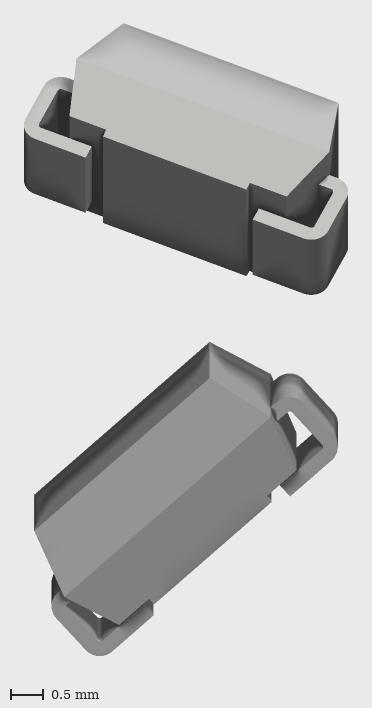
import cadquery as cq

OVERALL_LENGTH = 5.09

PARTING_LENGTH = 4.25
PARTING_HEIGHT = 2.67
TOP_LENGTH = 3.615
TOP_HEIGHT = 2.23
BASE_LENGTH = 3.575
BASE_HEIGHT = 2.29
HALF_DEPTH = 1.045

PAD_LENGTH = 2.415
PAD_RISE = 0.12

LEAD_WIDTH = 1.46
LEAD_THICKNESS = 0.23
LEAD_DROP = 1.245
FOOT_LENGTH = 1.14
INNER_BEND_RADIUS = 0.055
OUTER_BEND_RADIUS = INNER_BEND_RADIUS + LEAD_THICKNESS

BAND_EDGE_X = -1.405
BAND_DEPTH = 0.1


def tapered_half(end_length, end_height, end_y):
    """Housing half that tapers from the parting plane to its end face."""
    direction = 1 if end_y > 0 else -1
    return (
        cq.Workplane("XZ")
        .rect(PARTING_LENGTH, PARTING_HEIGHT)
        .workplane(offset=-direction * HALF_DEPTH)
        .rect(end_length, end_height)
        .loft(ruled=True)
    )


def make_housing_blank():
    """Housing with end ledges, before the band recess is cut."""
    top_half = tapered_half(TOP_LENGTH, TOP_HEIGHT, HALF_DEPTH)
    base_half = tapered_half(BASE_LENGTH, BASE_HEIGHT, -HALF_DEPTH)
    ledge_length = (PARTING_LENGTH - PAD_LENGTH) / 2
    ledge_cutters = (
        cq.Workplane("XY")
        .pushPoints([(side * (PAD_LENGTH + ledge_length) / 2, -HALF_DEPTH + PAD_RISE / 2) for side in (-1, 1)])
        .box(ledge_length, PAD_RISE, PARTING_HEIGHT)
    )
    return top_half.union(base_half).cut(ledge_cutters)


def make_band():
    """Straight-sided inlay spanning the full height of the flat +Y face."""
    start_x = -TOP_LENGTH / 2
    return (
        cq.Workplane("XY")
        .box(BAND_EDGE_X - start_x, BAND_DEPTH, TOP_HEIGHT, centered=(False, False, True))
        .translate((start_x, HALF_DEPTH - BAND_DEPTH, 0))
    )


def make_lead(housing_blank, side):
    """C-shaped lead on one end (side = -1 or +1), ending against the sloped housing end."""
    outer_x = side * OVERALL_LENGTH / 2
    inner_x = outer_x - side * LEAD_THICKNESS
    foot_x = outer_x - side * FOOT_LENGTH
    arm_x = side * TOP_LENGTH / 2
    strip = (
        cq.Workplane("XY")
        .moveTo(arm_x, 0)
        .lineTo(outer_x, 0)
        .lineTo(outer_x, -LEAD_DROP)
        .lineTo(foot_x, -LEAD_DROP)
        .lineTo(foot_x, -LEAD_DROP + LEAD_THICKNESS)
        .lineTo(inner_x, -LEAD_DROP + LEAD_THICKNESS)
        .lineTo(inner_x, -LEAD_THICKNESS)
        .lineTo(arm_x, -LEAD_THICKNESS)
        .close()
        .extrude(LEAD_WIDTH / 2, both=True)
    )
    outward = ">X" if side > 0 else "<X"
    strip = strip.edges("|Z").edges(outward).fillet(OUTER_BEND_RADIUS)
    inner_corners = cq.selectors.BoxSelector(
        (inner_x - LEAD_THICKNESS / 2, -LEAD_DROP, -LEAD_WIDTH),
        (inner_x + LEAD_THICKNESS / 2, 0, LEAD_WIDTH),
    )
    inner_bends = strip.edges("|Z").edges(inner_corners)
    return inner_bends.fillet(INNER_BEND_RADIUS).cut(housing_blank)


housing_blank = make_housing_blank()
band = make_band()
housing = housing_blank.cut(band)
leads = [make_lead(housing_blank, side) for side in (-1, 1)]

result = cq.Compound.makeCompound(
    [housing.solids().val(), band.solids().val(), *[lead.solids().val() for lead in leads]]
)